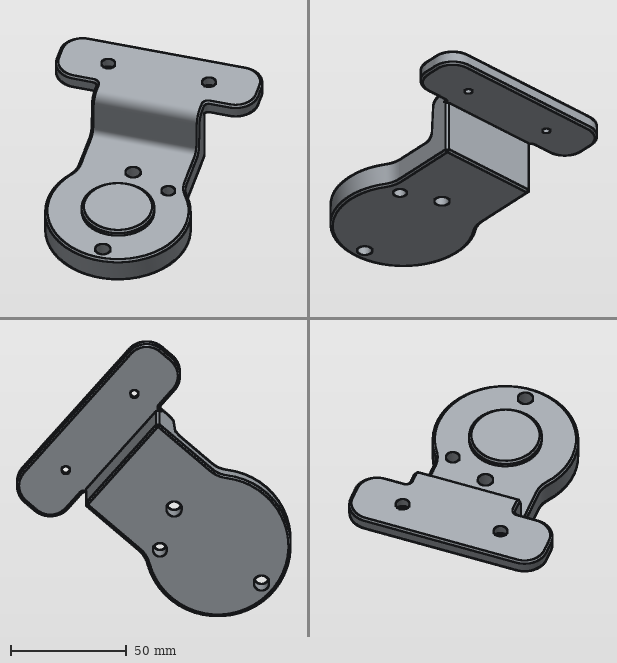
import cadquery as cq
import math

overall_length = 112.8
total_height = 32.4
edge_chamfer = 1.0

disc_radius = 31.5
base_thickness = 12.1
boss_diameter = 31.5
boss_height = 2.5

plate_length = 90.0
plate_back_y = overall_length - disc_radius
plate_width = 25.9
plate_thickness = 7.0
plate_corner_radius = 10.0
plate_front_y = plate_back_y - plate_width
plate_bottom_z = total_height - plate_thickness

neck_width = 48.0
neck_half = neck_width / 2
notch_radius = 2.0
blend_radius = 12.0
wall_top_y = 45.5
wall_foot_y = 44.2
bend_radius = 5.0
foot_radius = 3.0

disc_hole_diameter = 6.7
disc_hole_circle_radius = 25.0
disc_hole_angles = (90, 270)
pin_hole_diameter = 6.0
pin_hole_angle = 45
screw_spacing = 45.0
screw_y = 67.4
screw_diameter = 3.5
screw_head_diameter = 6.0
screw_head_depth = 4.5


def lower_outline():
    """Plan outline of neck and disc, with tangent arcs blending the two."""
    centre_x = neck_half + blend_radius
    centre_y = math.sqrt((disc_radius + blend_radius) ** 2 - centre_x ** 2)
    to_disc = disc_radius / (disc_radius + blend_radius)
    disc_x = centre_x * to_disc
    disc_y = centre_y * to_disc
    mid_angle = math.pi + math.atan2(centre_y, centre_x) / 2
    mid_x = centre_x + blend_radius * math.cos(mid_angle)
    mid_y = centre_y + blend_radius * math.sin(mid_angle)
    return (
        cq.Workplane("XY")
        .moveTo(-neck_half, plate_front_y)
        .lineTo(neck_half, plate_front_y)
        .lineTo(neck_half, centre_y)
        .threePointArc((mid_x, mid_y), (disc_x, disc_y))
        .threePointArc((0, -disc_radius), (-disc_x, disc_y))
        .threePointArc((-mid_x, mid_y), (-neck_half, centre_y))
        .close()
    )


def step_cutter():
    """Space in front of the sloping wall and above the base, with both bends rounded."""
    far_y = -2 * disc_radius
    cutter_half = plate_length / 2
    cutter = (
        cq.Workplane("YZ")
        .polyline([
            (wall_foot_y, base_thickness),
            (wall_top_y, total_height),
            (plate_front_y, total_height),
            (plate_front_y, 2 * total_height),
            (far_y, 2 * total_height),
            (far_y, base_thickness),
        ])
        .close()
        .extrude(cutter_half, both=True)
    )
    bend = cq.selectors.NearestToPointSelector((0, wall_top_y, total_height))
    foot = cq.selectors.NearestToPointSelector((0, wall_foot_y, base_thickness))
    return cutter.edges(bend).fillet(bend_radius).edges(foot).fillet(foot_radius)


def make_lower_body():
    """Base disc and neck wall, chamfered underneath and along the rear wall corners."""
    body = lower_outline().extrude(total_height).cut(step_cutter())
    body = body.edges("|Z and >Y").chamfer(edge_chamfer)
    return body.faces("<Z").edges().chamfer(edge_chamfer)


def make_plate():
    """Plate with a short neck stub, rounded notches and a chamfered lower rim."""
    stub_end_y = plate_front_y - notch_radius
    plate = (
        cq.Workplane("XY", origin=(0, (plate_back_y + plate_front_y) / 2, plate_bottom_z))
        .rect(plate_length, plate_width)
        .extrude(plate_thickness)
        .edges("|Z")
        .fillet(plate_corner_radius)
    )
    stub_length = plate_width / 2 + notch_radius
    stub = (
        cq.Workplane("XY", origin=(0, stub_end_y + stub_length / 2, plate_bottom_z))
        .rect(neck_width, stub_length)
        .extrude(plate_thickness)
    )
    plate = plate.union(stub)
    for side in (-1, 1):
        notch = (
            cq.Workplane("XY", origin=(0, 0, plate_bottom_z))
            .moveTo(side * neck_half, plate_front_y)
            .lineTo(side * (neck_half + notch_radius), plate_front_y)
            .radiusArc((side * neck_half, stub_end_y), -side * notch_radius)
            .close()
            .extrude(plate_thickness)
        )
        plate = plate.union(notch)
    return plate.faces("<Z").edges("not <Y").chamfer(edge_chamfer)


def make_boss():
    return (
        cq.Workplane("XY", origin=(0, 0, base_thickness))
        .circle(boss_diameter / 2)
        .extrude(boss_height)
        .faces(">Z")
        .chamfer(edge_chamfer)
    )


def disc_hole(diameter, angle):
    """Cutter for one through hole on the disc's hole circle."""
    hole_x = disc_hole_circle_radius * math.cos(math.radians(angle))
    hole_y = disc_hole_circle_radius * math.sin(math.radians(angle))
    return cq.Workplane("XY").center(hole_x, hole_y).circle(diameter / 2).extrude(base_thickness)


body = make_lower_body().union(make_plate())

rear_rim = cq.selectors.NearestToPointSelector((0, plate_back_y, total_height))
body = body.edges(rear_rim).chamfer(edge_chamfer)
body = body.union(make_boss())

for hole_angle in disc_hole_angles:
    body = body.cut(disc_hole(disc_hole_diameter, hole_angle))
body = body.cut(disc_hole(pin_hole_diameter, pin_hole_angle))

result = (
    body.faces(">Z")
    .workplane(origin=(0, screw_y, total_height))
    .pushPoints([(-screw_spacing / 2, 0), (screw_spacing / 2, 0)])
    .cboreHole(screw_diameter, screw_head_diameter, screw_head_depth)
)